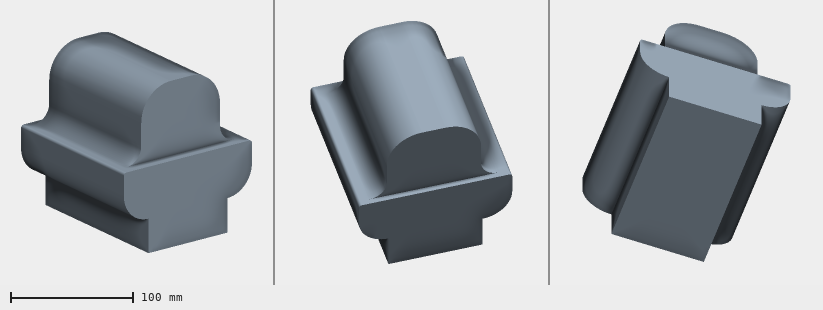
import cadquery as cq

length = 140.0
total_height = 140.0
shoulder_width = 130.0
neck_width = 80.0
foot_height = 30.0
shoulder_top = 75.0
shoulder_bottom_radius = (shoulder_width - neck_width) / 2
shoulder_top_radius = 2.5

ridge_start = 4.8
ridge_end = 130.0
flare_radius = 15.0
crown_radius = 30.0


def box(x_start, x_end, width, z_bottom, z_top):
    """Box centred on Y, with X measured from the -X end of the block."""
    return cq.Workplane("XY").box(
        x_end - x_start, width, z_top - z_bottom, centered=(False, True, False)
    ).translate((x_start, 0, z_bottom))


def make_foot():
    return box(0, length, neck_width, 0, foot_height)


def make_shoulder():
    shoulder = box(0, length, shoulder_width, foot_height, shoulder_top)
    shoulder = shoulder.edges("|X and <Z").fillet(shoulder_bottom_radius)
    return shoulder.edges("|X and >Z").fillet(shoulder_top_radius)


def make_ridge():
    ridge = box(ridge_start, ridge_end, neck_width, shoulder_top, total_height)
    return ridge.edges("|X and >Z").fillet(crown_radius)


def make_flare(side):
    """Concave strip along the ridge root; side is +1 or -1 along Y."""
    wall = side * neck_width / 2
    toe = wall + side * flare_radius
    arc_centre_z = shoulder_top + flare_radius
    return (
        cq.Workplane("YZ", origin=(ridge_start, 0, 0))
        .moveTo(wall, shoulder_top)
        .lineTo(toe, shoulder_top)
        .radiusArc((wall, arc_centre_z), side * flare_radius)
        .close()
        .extrude(ridge_end - ridge_start)
    )


result = make_foot().union(make_shoulder()).union(make_ridge())
for side in (-1, 1):
    result = result.union(make_flare(side))
result = result.clean().translate((-length / 2, 0, 0))